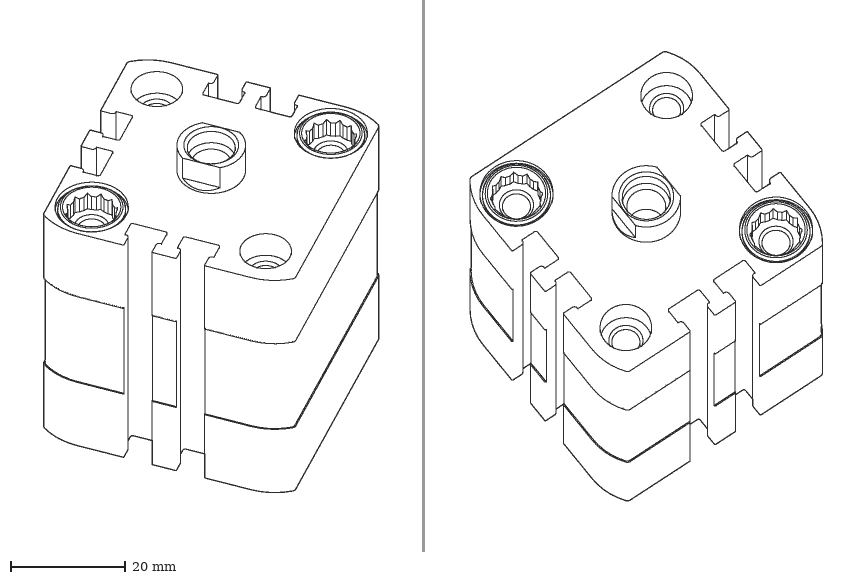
import cadquery as cq
import math

total_height = 56.35
rod_projection = 5.9
width = 47.0
half_width = width / 2
housing_height = total_height - rod_projection

cap_height = 15.05
barrel_height = housing_height - 2 * cap_height
barrel_inset = 0.2

corner_arc_start = 16.25
corner_arc_radius = 11.85
corner_blend_radius = 0.85

slot_spacing = 9.8
slot_depth = 5.8
slot_mouth_depth = 2.65
slot_mouth_width = 5.25
slot_inner_width = 6.8
slot_corner_radius = 0.4
mouth_edge_radius = 0.2
lip_edge_radius = 0.6

hole_spacing = 32.45
through_diameter = 4.9
lead_in_diameter = 6.0
counterbore_diameter = 9.0
counterbore_depth = 5.1

groove_diameter = 12.8
rim_base_diameter = 11.9
rim_top_diameter = 10.95
groove_depth = 1.0
socket_mouth_diameter = 10.2
socket_bore_diameter = 8.5
socket_depth = 4.55
socket_mouth_angle = 30.0
socket_hexagon_diameter = 9.2

rod_diameter = 12.0
rod_seat_depth = cap_height
rod_length = rod_projection + rod_seat_depth
flat_spacing = 9.75
flat_base_height = 1.2
flat_base_drop = 0.7
countersink_diameter = 9.6
rod_bore_diameter = 8.4
rod_bore_depth = 3.25
thread_diameter = 6.8
thread_depth = 11.85
drill_point_angle = 118.0


def cone_length(large_diameter, small_diameter, angle_to_axis):
    """Axial length of a cone between two diameters."""
    return (large_diameter - small_diameter) / 2 / math.tan(math.radians(angle_to_axis))


def revolved(profile):
    """Solid of revolution about Z from (radius, z) points; the ends close on the axis."""
    points = [(0, profile[0][1]), *profile]
    if profile[-1][0] > 0:
        points.append((0, profile[-1][1]))
    return cq.Workplane("XZ").polyline(points).close().revolve(360, (0, 0), (0, 1))


def band(inset, z_bottom, height):
    """One length of the housing outline, moved inward by the inset."""
    edge = half_width - inset
    arc_radius = corner_arc_radius - inset
    run = edge - corner_arc_start
    side_end = edge - arc_radius + math.sqrt(arc_radius**2 - run**2)
    middle = math.asin(run / arc_radius) / 2
    arc_mid_x = corner_arc_start + arc_radius * math.sin(middle)
    arc_mid_y = edge - arc_radius * (1 - math.cos(middle))
    return (
        cq.Workplane("XY", origin=(0, 0, z_bottom))
        .moveTo(-corner_arc_start, edge)
        .lineTo(corner_arc_start, edge)
        .threePointArc((arc_mid_x, arc_mid_y), (edge, side_end))
        .lineTo(edge, -side_end)
        .threePointArc((arc_mid_x, -arc_mid_y), (corner_arc_start, -edge))
        .lineTo(-corner_arc_start, -edge)
        .threePointArc((-arc_mid_x, -arc_mid_y), (-edge, -side_end))
        .lineTo(-edge, side_end)
        .threePointArc((-arc_mid_x, arc_mid_y), (-corner_arc_start, edge))
        .close()
        .extrude(height)
        .edges("(<X or >X) and |Z")
        .fillet(corner_blend_radius)
    )


def t_slot(z_bottom, height):
    """Cutter for one T-slot open toward -Y, centred on X = 0."""
    face_y = -half_width
    lip_y = face_y + slot_mouth_depth
    floor_y = face_y + slot_depth
    half_mouth = slot_mouth_width / 2
    half_inner = slot_inner_width / 2
    floor_corners = cq.selectors.BoxSelector(
        (-slot_inner_width, floor_y - slot_corner_radius, z_bottom),
        (slot_inner_width, floor_y + slot_corner_radius, z_bottom + height),
    )
    lip_edges = cq.selectors.BoxSelector(
        (-half_mouth - lip_edge_radius, lip_y - lip_edge_radius, z_bottom),
        (half_mouth + lip_edge_radius, lip_y + lip_edge_radius, z_bottom + height),
    )
    return (
        cq.Workplane("XY", origin=(0, 0, z_bottom))
        .polyline([
            (-half_mouth, face_y),
            (half_mouth, face_y),
            (half_mouth, lip_y),
            (half_inner, lip_y),
            (half_inner, floor_y),
            (-half_inner, floor_y),
            (-half_inner, lip_y),
            (-half_mouth, lip_y),
        ])
        .close()
        .extrude(height)
        .edges("|Z")
        .edges(floor_corners)
        .fillet(slot_corner_radius)
        .edges("|Z")
        .edges(lip_edges)
        .fillet(lip_edge_radius)
    )


def rounded_mouth(z_bottom, height):
    """Cutter that rounds the two outer edges of a T-slot mouth; the radius flares the opening."""
    face_y = -half_width
    half_mouth = slot_mouth_width / 2
    half_flare = half_mouth + mouth_edge_radius
    bend = mouth_edge_radius * math.sqrt(0.5)
    bend_x = half_flare - bend
    bend_y = face_y + mouth_edge_radius - bend
    edge_y = face_y + mouth_edge_radius
    return (
        cq.Workplane("XY", origin=(0, 0, z_bottom))
        .moveTo(-half_flare, face_y)
        .lineTo(half_flare, face_y)
        .threePointArc((bend_x, bend_y), (half_mouth, edge_y))
        .lineTo(-half_mouth, edge_y)
        .threePointArc((-bend_x, bend_y), (-half_flare, face_y))
        .close()
        .extrude(height)
    )


def cut_on_slot_sides(body, cutter):
    """Cut a slot cutter twice into each of the -Y, -X and +Y sides."""
    for side_angle in (0, -90, 180):
        for offset in (-slot_spacing / 2, slot_spacing / 2):
            placed = cutter.translate((offset, 0, 0)).rotate((0, 0, 0), (0, 0, 1), side_angle)
            body = body.cut(placed)
    return body


def through_hole(seat_z):
    """Cutter for the hole below a seat, with its conical lead-in."""
    lead_in = cone_length(lead_in_diameter, through_diameter, 45)
    return revolved([
        (lead_in_diameter / 2, seat_z),
        (through_diameter / 2, seat_z - lead_in),
        (through_diameter / 2, 0),
    ])


def counterbored_hole():
    seat_z = housing_height - counterbore_depth
    counterbore = (
        cq.Workplane("XY", origin=(0, 0, seat_z))
        .circle(counterbore_diameter / 2)
        .extrude(counterbore_depth)
    )
    return counterbore.union(through_hole(seat_z))


def socket_hole():
    """Cutter for a twelve-point socket inside a rim with a ring groove around it."""
    seat_z = housing_height - socket_depth
    groove_z = housing_height - groove_depth
    rim_chamfer = cone_length(rim_base_diameter, rim_top_diameter, 45)
    groove = (
        cq.Workplane("XY", origin=(0, 0, groove_z))
        .circle(groove_diameter / 2)
        .extrude(groove_depth)
        .cut(revolved([
            (rim_top_diameter / 2, housing_height),
            (rim_base_diameter / 2, housing_height - rim_chamfer),
            (rim_base_diameter / 2, groove_z),
        ]))
    )
    mouth = cone_length(socket_mouth_diameter, socket_bore_diameter, socket_mouth_angle)
    socket = revolved([
        (socket_mouth_diameter / 2, housing_height),
        (socket_bore_diameter / 2, housing_height - mouth),
        (socket_bore_diameter / 2, seat_z),
    ])
    hexagon = (
        cq.Workplane("XY", origin=(0, 0, seat_z))
        .polygon(6, socket_hexagon_diameter)
        .extrude(socket_depth)
    )
    star = hexagon.union(hexagon.rotate((0, 0, 0), (0, 0, 1), 30))
    return groove.union(socket).union(star).union(through_hole(seat_z))


def make_housing():
    upper_cap_z = housing_height - cap_height
    body = band(barrel_inset, cap_height, barrel_height)
    for cap_z in (0, upper_cap_z):
        cap = band(0, cap_z, cap_height)
        body = body.union(cut_on_slot_sides(cap, rounded_mouth(cap_z, cap_height)))
    body = cut_on_slot_sides(body, t_slot(0, housing_height))
    near = hole_spacing / 2
    for side in (-1, 1):
        body = body.cut(socket_hole().translate((side * near, side * near, 0)))
        body = body.cut(counterbored_hole().translate((side * near, -side * near, 0)))
    rod_seat = (
        cq.Workplane("XY", origin=(0, 0, housing_height - rod_seat_depth))
        .circle(rod_diameter / 2)
        .extrude(rod_seat_depth)
    )
    return body.cut(rod_seat)


def wrench_flat():
    """Cutter for the flat on the +Y side; its base slopes down outward."""
    base_z = housing_height + flat_base_height
    flat_y = flat_spacing / 2
    edge_y = rod_diameter / 2
    return (
        cq.Workplane("YZ")
        .polyline([
            (flat_y, total_height),
            (flat_y, base_z),
            (edge_y, base_z - flat_base_drop),
            (edge_y, total_height),
        ])
        .close()
        .extrude(rod_diameter / 2, both=True)
    )


def make_rod():
    rod = (
        cq.Workplane("XY", origin=(0, 0, total_height - rod_length))
        .circle(rod_diameter / 2)
        .extrude(rod_length)
    )
    countersink = cone_length(countersink_diameter, rod_bore_diameter, 45)
    bore_end = rod_bore_depth + cone_length(rod_bore_diameter, thread_diameter, 45)
    tip = thread_depth + cone_length(thread_diameter, 0, drill_point_angle / 2)
    bore = revolved([
        (countersink_diameter / 2, total_height),
        (rod_bore_diameter / 2, total_height - countersink),
        (rod_bore_diameter / 2, total_height - rod_bore_depth),
        (thread_diameter / 2, total_height - bore_end),
        (thread_diameter / 2, total_height - thread_depth),
        (0, total_height - tip),
    ])
    flat = wrench_flat()
    return rod.cut(bore).cut(flat).cut(flat.mirror("XZ"))


housing = make_housing()
rod = make_rod()
result = cq.Compound.makeCompound([housing.val(), rod.val()])